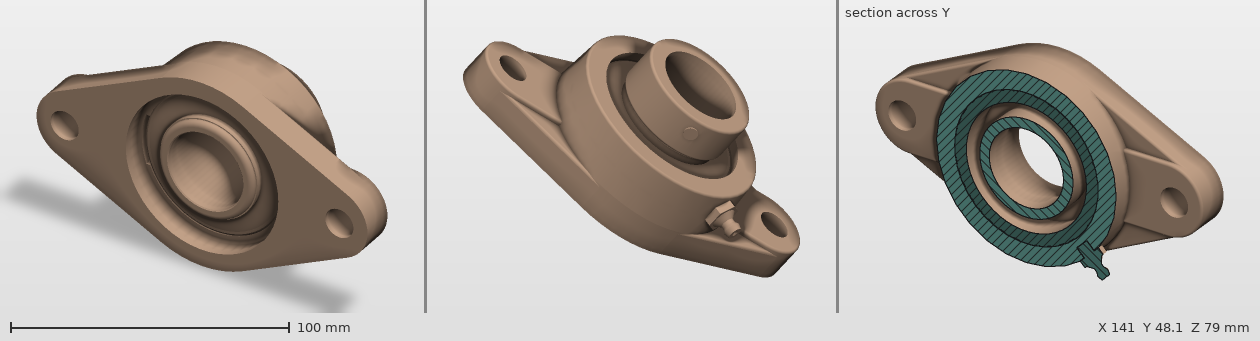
import cadquery as cq
import math

OVERALL_LENGTH = 141.0
OVERALL_DEPTH = 48.1

HUB_RADIUS = 39.5
EAR_RADIUS = 15.0
EAR_CENTRE = OVERALL_LENGTH / 2 - EAR_RADIUS
FLANGE_THICKNESS = 12.0
PAD_THICKNESS = 14.0
EDGE_ROUND = 1.0
BOLT_HOLE_DIAMETER = 12.0
BOLT_HOLE_X = 58.5

HUB_END_Y = 31.0
HUB_END_RADIUS = 38.0
FRONT_BORE_RADIUS = 65.0 / 2
LIP_FACE_Y = 8.5
SLOT_WIDTH = 21.2

BEARING_CENTRE_Y = 17.9
SEAT_RADIUS = 31.0
OUTER_RING_HALF_WIDTH = 9.2
OUTER_RING_CHAMFER = 0.7
LAND_RADIUS = 51.5 / 2
BORE_RADIUS = 31.7 / 2
BORE_CHAMFER = 0.4
INNER_RING_RADIUS = 40.3 / 2
INNER_RING_FRONT_Y = 2.1
INNER_RING_ROUND = 2.0
SPIGOT_RADIUS = 37.6 / 2
SPIGOT_END_Y = 38.0

SEAL_SLEEVE_RADIUS = 41.3 / 2
SEAL_OUTER_RADIUS = 55.8 / 2
SEAL_THICKNESS = 2.1
SEAL_RISE = 1.3
SEAL_SLEEVE_HALF_LENGTH = 13.4

COLLAR_RADIUS = 44.5 / 2
COLLAR_LENGTH = 16.0
COLLAR_FRONT_Y = OVERALL_DEPTH - COLLAR_LENGTH
SCREW_RADIUS = 5.4 / 2
SCREW_Y = 42.0
SCREW_STANDOUT = 0.4

NIPPLE_Y = 22.8
NIPPLE_ANGLE = 45.0
SHANK_RADIUS = 6.0 / 2
SHANK_START = 33.8
HEX_START = 38.4
HEX_END = 41.3
HEX_FLATS = 11.3
CONE_RADIUS = 4.7
NECK_RADIUS = 5.0 / 2
NECK_END = 45.0
HEAD_RADIUS = 3.2
HEAD_WIDEST = 46.4
TIP_END = 48.5
TIP_RADIUS = 5.4 / 2
TIP_HOLE_RADIUS = 2.5 / 2
TIP_HOLE_DEPTH = 0.7


def cylinder_y(radius, start, end):
    """Cylinder on the shaft axis between two Y positions."""
    return cq.Workplane("XZ", origin=(0, start, 0)).circle(radius).extrude(start - end)


def turned(points):
    """Solid turned about the shaft axis from (radius, y) points."""
    return cq.Workplane("XY").polyline(points).close().revolve(360, (0, 0), (0, 1))


def flange_plate():
    """Plate with tangent sides and round ears; flat chords span the arcs that the hub fills."""
    sine = (HUB_RADIUS - EAR_RADIUS) / EAR_CENTRE
    cosine = math.sqrt(1 - sine**2)
    hub_x = HUB_RADIUS * sine
    hub_z = HUB_RADIUS * cosine
    ear_x = EAR_CENTRE + EAR_RADIUS * sine
    ear_z = EAR_RADIUS * cosine
    tip_x = OVERALL_LENGTH / 2
    plate = (
        cq.Workplane("XZ")
        .moveTo(-hub_x, hub_z)
        .lineTo(hub_x, hub_z)
        .lineTo(ear_x, ear_z)
        .threePointArc((tip_x, 0), (ear_x, -ear_z))
        .lineTo(hub_x, -hub_z)
        .lineTo(-hub_x, -hub_z)
        .lineTo(-ear_x, -ear_z)
        .threePointArc((-tip_x, 0), (-ear_x, ear_z))
        .close()
        .extrude(-FLANGE_THICKNESS)
    )
    return plate.faces(">Y").edges("not |X").fillet(EDGE_ROUND)


def ear_pads():
    """Raised band with round ends that thickens both ears."""
    band = cq.Workplane("XZ").slot2D(OVERALL_LENGTH, 2 * EAR_RADIUS).extrude(-PAD_THICKNESS)
    return band.faces(">Y").edges().fillet(EDGE_ROUND)


def hub():
    """Short cylinder in the flange, then a slight taper to a rounded end."""
    body = turned(
        [
            (0, 0),
            (HUB_RADIUS, 0),
            (HUB_RADIUS, FLANGE_THICKNESS),
            (HUB_END_RADIUS, HUB_END_Y),
            (0, HUB_END_Y),
        ]
    )
    return body.faces(">Y").edges().fillet(EDGE_ROUND)


def loading_slots():
    """Pair of notches through the lip that let the outer ring into its seat."""
    length = BEARING_CENTRE_Y - LIP_FACE_Y
    band = cq.Workplane("XY").box(2 * SEAT_RADIUS, length, SLOT_WIDTH)
    band = band.translate((0, LIP_FACE_Y + length / 2, 0))
    return band.intersect(cylinder_y(SEAT_RADIUS, LIP_FACE_Y, BEARING_CENTRE_Y))


def bearing_seat():
    """Ball-shaped seat, open to the front bore and to the rear."""
    seat = cq.Workplane("XY").sphere(SEAT_RADIUS).translate((0, BEARING_CENTRE_Y, 0))
    opening_radius = math.sqrt(SEAT_RADIUS**2 - (BEARING_CENTRE_Y - LIP_FACE_Y) ** 2)
    return (
        seat.intersect(cylinder_y(HUB_RADIUS, LIP_FACE_Y, HUB_END_Y))
        .union(cylinder_y(opening_radius, BEARING_CENTRE_Y, HUB_END_Y))
    )


def make_housing(nipple):
    front_bore = cylinder_y(FRONT_BORE_RADIUS, 0, LIP_FACE_Y).faces(">Y").edges().fillet(EDGE_ROUND)
    bolt_holes = (
        cq.Workplane("XZ")
        .pushPoints([(-BOLT_HOLE_X, 0), (BOLT_HOLE_X, 0)])
        .circle(BOLT_HOLE_DIAMETER / 2)
        .extrude(-PAD_THICKNESS)
    )
    body = flange_plate().union(ear_pads()).union(hub())
    for tool in (front_bore, bearing_seat(), loading_slots(), bolt_holes, nipple):
        body = body.cut(tool)
    return body


def make_outer_ring():
    """Ball-shaped outside, with a shallow recess at each end for a seal."""
    front = BEARING_CENTRE_Y - OUTER_RING_HALF_WIDTH
    rear = BEARING_CENTRE_Y + OUTER_RING_HALF_WIDTH
    edge_radius = math.sqrt(SEAT_RADIUS**2 - OUTER_RING_HALF_WIDTH**2)
    ring = (
        cq.Workplane("XY")
        .moveTo(LAND_RADIUS, front)
        .lineTo(edge_radius, front)
        .threePointArc((SEAT_RADIUS, BEARING_CENTRE_Y), (edge_radius, rear))
        .lineTo(LAND_RADIUS, rear)
        .close()
        .revolve(360, (0, 0), (0, 1))
    )
    for face in ("<Y", ">Y"):
        ring = ring.faces(face).edges(cq.selectors.RadiusNthSelector(-1)).chamfer(OUTER_RING_CHAMFER)
    for start in (front, rear - SEAL_THICKNESS):
        ring = ring.cut(cylinder_y(SEAL_OUTER_RADIUS, start, start + SEAL_THICKNESS))
    return ring


def make_seal(side):
    """Slightly conical washer with a thin sleeve hugging the inner ring; side is -1 front, 1 rear."""
    rim = OUTER_RING_HALF_WIDTH
    crown = rim + SEAL_RISE
    section = [
        (INNER_RING_RADIUS, rim - SEAL_THICKNESS),
        (SEAL_OUTER_RADIUS, rim - SEAL_THICKNESS),
        (SEAL_OUTER_RADIUS, rim),
        (SEAL_SLEEVE_RADIUS, crown),
        (SEAL_SLEEVE_RADIUS, SEAL_SLEEVE_HALF_LENGTH),
        (INNER_RING_RADIUS, SEAL_SLEEVE_HALF_LENGTH),
    ]
    return turned([(radius, BEARING_CENTRE_Y + side * offset) for radius, offset in section])


def make_inner_ring():
    """Sleeve with a rounded front end and a rear spigot for the collar."""
    sleeve = cylinder_y(INNER_RING_RADIUS, INNER_RING_FRONT_Y, COLLAR_FRONT_Y)
    sleeve = sleeve.faces("<Y").edges().fillet(INNER_RING_ROUND)
    sleeve = sleeve.union(cylinder_y(SPIGOT_RADIUS, COLLAR_FRONT_Y, SPIGOT_END_Y))
    sleeve = sleeve.cut(cylinder_y(BORE_RADIUS, INNER_RING_FRONT_Y, SPIGOT_END_Y))
    return sleeve.faces("<Y").edges(cq.selectors.RadiusNthSelector(0)).chamfer(BORE_CHAMFER)


def make_set_screw():
    """Plain pin from the bore out through the underside of the collar."""
    reach = COLLAR_RADIUS + SCREW_STANDOUT
    screw = cq.Workplane("XY", origin=(0, SCREW_Y, 0)).circle(SCREW_RADIUS).extrude(-reach)
    return screw.cut(cylinder_y(BORE_RADIUS, COLLAR_FRONT_Y, OVERALL_DEPTH))


def make_collar(set_screw):
    collar = cylinder_y(COLLAR_RADIUS, COLLAR_FRONT_Y, OVERALL_DEPTH)
    collar = collar.faces("<Y or >Y").edges().fillet(EDGE_ROUND)
    collar = collar.cut(cylinder_y(SPIGOT_RADIUS, COLLAR_FRONT_Y, SPIGOT_END_Y))
    collar = collar.cut(cylinder_y(BORE_RADIUS, SPIGOT_END_Y, OVERALL_DEPTH))
    return collar.cut(set_screw)


def make_grease_nipple():
    """Shank, hexagon, 45 degree cone, neck and flared head, turned along Z and then aimed outward."""
    cone_end = HEX_END + CONE_RADIUS - NECK_RADIUS
    turned_part = (
        cq.Workplane("XZ")
        .polyline(
            [
                (0, SHANK_START),
                (SHANK_RADIUS, SHANK_START),
                (SHANK_RADIUS, HEX_END),
                (CONE_RADIUS, HEX_END),
                (NECK_RADIUS, cone_end),
                (NECK_RADIUS, NECK_END),
                (HEAD_RADIUS, HEAD_WIDEST),
                (TIP_RADIUS, TIP_END),
                (TIP_HOLE_RADIUS, TIP_END),
                (0, TIP_END - TIP_HOLE_DEPTH),
            ]
        )
        .close()
        .revolve(360, (0, 0), (0, 1))
    )
    hexagon = (
        cq.Workplane("XY", origin=(0, 0, HEX_START))
        .polygon(6, HEX_FLATS, circumscribed=True)
        .extrude(HEX_END - HEX_START)
    )
    upright = turned_part.union(hexagon)
    aimed = upright.rotate((0, 0, 0), (0, 1, 0), 180 + NIPPLE_ANGLE)
    return aimed.translate((0, NIPPLE_Y, 0))


grease_nipple = make_grease_nipple()
housing = make_housing(grease_nipple)
outer_ring = make_outer_ring()
inner_ring = make_inner_ring()
set_screw = make_set_screw()
collar = make_collar(set_screw)

seals = [make_seal(side).val() for side in (-1, 1)]

result = cq.Compound.makeCompound(
    [
        housing.val(),
        grease_nipple.val(),
        outer_ring.val(),
        inner_ring.val(),
        collar.val(),
        set_screw.val(),
        *seals,
    ]
)